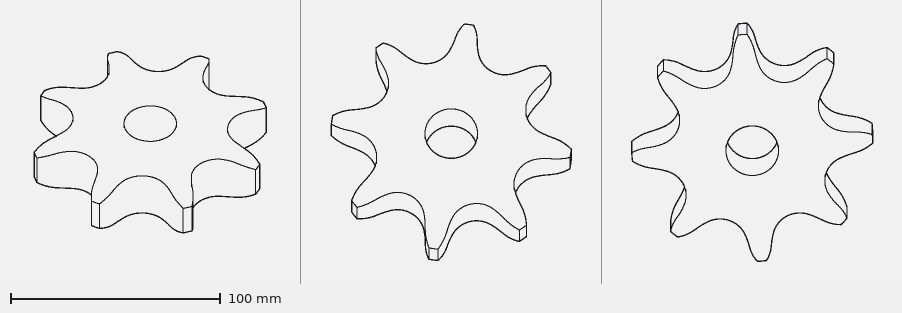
import cadquery as cq
import math

teeth = 8
chain_pitch = 38.1
roller_diameter = chain_pitch * 2 / 3
seat_clearance = 0.038
tip_diameter = 115.0
thickness = 24.0
bore_diameter = 25.0

face_radius = 40.7
side_drop = 4.1

half_step = math.pi / teeth
seat_angle = math.radians(35 + 60 / teeth)
flank_sweep = math.radians(18 - 56 / teeth)
tip_sweep = math.radians(17 - 64 / teeth)
pitch_radius = chain_pitch / (2 * math.sin(half_step))
tip_radius = tip_diameter / 2
flank_offset = 0.8 * roller_diameter
tip_offset = 1.4 * roller_diameter
seat_radius = 0.5025 * roller_diameter + seat_clearance
flank_radius = seat_radius + flank_offset
tip_flank_radius = (
    flank_offset * math.cos(flank_sweep) + tip_offset * math.cos(tip_sweep) - flank_radius
)


def polar(center, radius, angle):
    """Point at a radius and angle from a center."""
    return (center[0] + radius * math.cos(angle), center[1] + radius * math.sin(angle))


def middle(first, second):
    return (first + second) / 2


def make_gap():
    """Space between two teeth, symmetric about +Y and open past the tips."""
    seat_center = (0, pitch_radius)
    flank_center = polar(seat_center, flank_offset, math.pi - seat_angle)
    tip_center = polar(seat_center, tip_offset, -half_step)

    straight_angle = flank_sweep - seat_angle
    tip_start_angle = math.pi + straight_angle
    center_distance = math.hypot(*tip_center)
    center_direction = math.atan2(tip_center[1], tip_center[0])
    cosine = (tip_radius**2 + center_distance**2 - tip_flank_radius**2) / (
        2 * tip_radius * center_distance
    )
    corner_angle = center_direction + math.acos(cosine)
    corner = polar((0, 0), tip_radius, corner_angle)
    tip_end_angle = math.atan2(corner[1] - tip_center[1], corner[0] - tip_center[0])

    seat_end = polar(seat_center, seat_radius, -seat_angle)
    flank_middle = polar(flank_center, flank_radius, middle(-seat_angle, straight_angle))
    flank_end = polar(flank_center, flank_radius, straight_angle)
    tip_start = polar(tip_center, tip_flank_radius, tip_start_angle)
    tip_middle = polar(tip_center, tip_flank_radius, middle(tip_start_angle, tip_end_angle))
    outside = polar((0, 0), 2 * tip_radius, corner_angle)

    def mirror(point):
        return (-point[0], point[1])

    return (
        cq.Workplane("XY")
        .moveTo(*mirror(seat_end))
        .threePointArc((0, pitch_radius - seat_radius), seat_end)
        .threePointArc(flank_middle, flank_end)
        .lineTo(*tip_start)
        .threePointArc(tip_middle, corner)
        .lineTo(*outside)
        .lineTo(*mirror(outside))
        .lineTo(*mirror(corner))
        .threePointArc(mirror(tip_middle), mirror(tip_start))
        .lineTo(*mirror(flank_end))
        .threePointArc(mirror(flank_middle), mirror(seat_end))
        .close()
        .extrude(thickness / 2, both=True)
    )


def make_blank():
    """Bored disc with rounded sides, revolved about Z."""
    bore_radius = bore_diameter / 2
    top = thickness / 2
    rim = top - side_drop
    side_width = tip_radius - face_radius
    side_radius = (side_width**2 + side_drop**2) / (2 * side_drop)
    half_arc = math.asin(side_width / side_radius) / 2
    side_middle = polar((face_radius, top - side_radius), side_radius, math.pi / 2 - half_arc)
    return (
        cq.Workplane("XZ")
        .moveTo(bore_radius, -top)
        .lineTo(face_radius, -top)
        .threePointArc((side_middle[0], -side_middle[1]), (tip_radius, -rim))
        .lineTo(tip_radius, rim)
        .threePointArc(side_middle, (face_radius, top))
        .lineTo(bore_radius, top)
        .close()
        .revolve(360, (0, 0, 0), (0, 1, 0))
    )


result = make_blank()
gap = make_gap()
for index in range(teeth):
    result = result.cut(gap.rotate((0, 0, 0), (0, 0, 1), index * 360 / teeth))